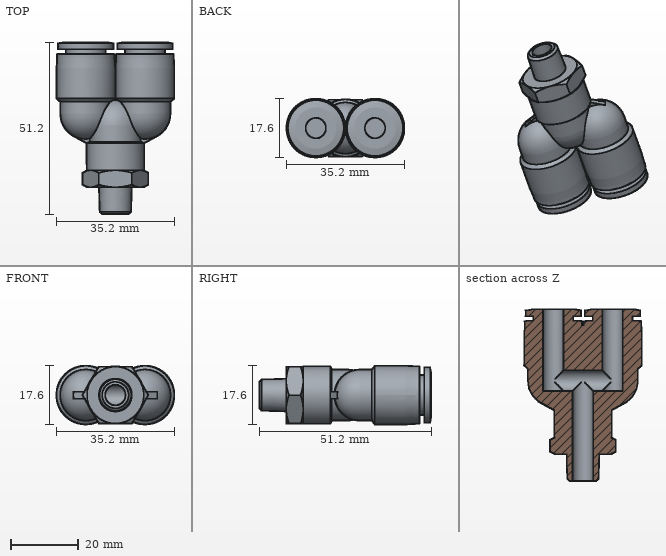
import cadquery as cq
import math


thread_tip_radius = 3.95
thread_end_radius = 4.7
thread_root_radius = 4.9
thread_chamfer_y = 0.7

hex_bottom_y = 8.0
hex_top_y = 13.05
hex_across_flats = 17.0
hex_face_radius = 8.45
hex_chamfer_angle = math.radians(30)

body_radius = 8.6
body_top_y = 21.1
neck_radius = 7.65
neck_bottom_y = 21.65
neck_dome_y = 26.35

branch_offset = 8.8
branch_radius = 8.79
elbow_radius = neck_radius
elbow_dome_y = 29.95
sleeve_cone_y = 33.45
sleeve_bottom_y = 34.45
sleeve_taper_y = 43.5
mouth_radius = 8.6
mouth_bottom_y = 46.45
mouth_edge_y = 47.65
mouth_rim_radius = 7.85
mouth_top_y = 47.8

ring_neck_radius = 6.0
flange_radius = 8.3
flange_bottom_y = 49.05
flange_edge_y = 50.85
rim_radius = 7.85
rim_y = 50.95
ring_end_radius = 6.15
overall_length = 51.25

web_thickness = 2.05
bridge_width = 1.0
bore_radius = 3.0


def revolve_about_y(profile):
    """Revolve a closed (radius, y) sketch about the Y axis."""
    return profile.close().revolve(360, (0, 0, 0), (0, 1, 0))


def y_cylinder(radius, start_y, end_y):
    return cq.Workplane("XZ", origin=(0, start_y, 0)).circle(radius).extrude(start_y - end_y)


def make_stem():
    return revolve_about_y(
        cq.Workplane("XY")
        .lineTo(thread_tip_radius, 0)
        .lineTo(thread_end_radius, thread_chamfer_y)
        .lineTo(thread_root_radius, hex_bottom_y)
        .lineTo(thread_root_radius, hex_top_y)
        .lineTo(body_radius, hex_top_y)
        .lineTo(body_radius, body_top_y)
        .lineTo(neck_radius, neck_bottom_y)
        .lineTo(neck_radius, neck_dome_y)
        .radiusArc((0, neck_dome_y + neck_radius), -neck_radius)
    )


def make_hexagon():
    """Hexagon with two flats facing +Z and -Z, its corners bevelled at both ends."""
    across_corners = hex_across_flats / math.cos(math.radians(30))
    height = hex_top_y - hex_bottom_y
    prism = cq.Workplane("XZ", origin=(0, hex_bottom_y, 0)).polygon(6, across_corners).extrude(-height)
    corner_radius = across_corners / 2
    bevel = (corner_radius - hex_face_radius) * math.tan(hex_chamfer_angle)
    envelope = revolve_about_y(
        cq.Workplane("XY")
        .moveTo(0, hex_bottom_y)
        .lineTo(hex_face_radius, hex_bottom_y)
        .lineTo(corner_radius, hex_bottom_y + bevel)
        .lineTo(corner_radius, hex_top_y - bevel)
        .lineTo(hex_face_radius, hex_top_y)
        .lineTo(0, hex_top_y)
    )
    return prism.intersect(envelope)


def make_branch():
    """One domed elbow, tube sleeve and release ring, built on the Y axis."""
    return revolve_about_y(
        cq.Workplane("XY")
        .moveTo(0, elbow_dome_y - elbow_radius)
        .radiusArc((elbow_radius, elbow_dome_y), -elbow_radius)
        .lineTo(elbow_radius, sleeve_cone_y)
        .lineTo(branch_radius, sleeve_bottom_y)
        .lineTo(branch_radius, sleeve_taper_y)
        .lineTo(mouth_radius, mouth_bottom_y)
        .lineTo(mouth_radius, mouth_edge_y)
        .lineTo(mouth_rim_radius, mouth_top_y)
        .lineTo(ring_neck_radius, mouth_top_y)
        .lineTo(ring_neck_radius, flange_bottom_y)
        .lineTo(flange_radius, flange_bottom_y)
        .lineTo(flange_radius, flange_edge_y)
        .lineTo(rim_radius, rim_y)
        .lineTo(ring_end_radius, overall_length)
        .lineTo(0, overall_length)
    )


def make_corner_web(side):
    """Flat web from the top edge of the body, tangent to the elbow dome of one branch."""
    run = branch_offset - body_radius
    rise = elbow_dome_y - body_top_y
    distance = math.hypot(run, rise)
    tangent_angle = math.atan2(rise, run) - math.asin(elbow_radius / distance)
    tangent_x = branch_offset + elbow_radius * math.sin(tangent_angle)
    tangent_y = elbow_dome_y - elbow_radius * math.cos(tangent_angle)
    return (
        cq.Workplane("XY")
        .moveTo(0, body_top_y)
        .lineTo(side * body_radius, body_top_y)
        .lineTo(side * tangent_x, tangent_y)
        .lineTo(side * branch_offset, elbow_dome_y)
        .lineTo(0, elbow_dome_y)
        .close()
        .extrude(web_thickness / 2, both=True)
    )


def make_sleeve_bridge():
    """Narrow web that closes the gap between the two sleeves."""
    length = mouth_bottom_y - neck_dome_y
    middle_y = (mouth_bottom_y + neck_dome_y) / 2
    return cq.Workplane("XY").center(0, middle_y).box(bridge_width, length, web_thickness)


def make_passage():
    """Bore from the thread tip into a cross bore that feeds both branches."""
    passage = y_cylinder(bore_radius, 0, elbow_dome_y)
    cross = cq.Workplane("YZ", origin=(0, elbow_dome_y, 0)).circle(bore_radius)
    passage = passage.union(cross.extrude(branch_offset, both=True))
    branch_bore = y_cylinder(bore_radius, elbow_dome_y - bore_radius, overall_length)
    for side in (-1, 1):
        passage = passage.union(branch_bore.translate((side * branch_offset, 0, 0)))
    return passage


fitting = make_stem().union(make_hexagon()).union(make_sleeve_bridge())
for side in (-1, 1):
    fitting = fitting.union(make_branch().translate((side * branch_offset, 0, 0)))
    fitting = fitting.union(make_corner_web(side))

result = fitting.cut(make_passage())